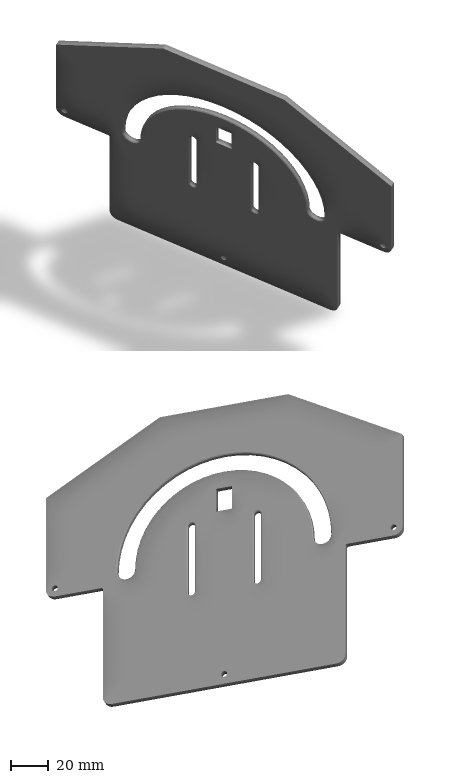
import cadquery as cq
import math

thickness = 3.0
head_width = 200.0
tail_width = 136.0
height = 170.0
shoulder_z = 72.0
top_edge_width = 72.0
slope_angle = 30.0

lower_corner_radius = 5.0
shoulder_radius = 1.0
upper_corner_radius = 1.0

slot_center_z = 80.0
ring_slot_radius = 55.0
ring_slot_width = 10.0
straight_slot_spacing = 37.0
straight_slot_width = 4.0
straight_slot_travel = 40.0
slot_chamfer = 0.5

window_width = 9.2
window_height = 13.8
window_bottom_z = 106.2

hole_diameter = 3.5
head_hole_spacing = 190.0
head_hole_z = 77.0
tail_hole_z = 6.0

half_head = head_width / 2
half_tail = tail_width / 2
half_top = top_edge_width / 2
slope_drop = (half_head - half_top) * math.tan(math.radians(slope_angle))
slope_foot_z = height - slope_drop


def front_plane():
    """Sketch plane on the front face; its normal points to -Y, local x is X and local y is Z."""
    return cq.Workplane("XZ", origin=(0, -thickness / 2, 0))


def round_corners(body, half_width, z, radius):
    """Round the mirrored pair of through-thickness edges at (+/-half_width, z)."""
    for x in (-half_width, half_width):
        corner = cq.selectors.NearestToPointSelector((x, 0, z))
        body = body.edges("|Y").edges(corner).fillet(radius)
    return body


def make_plate():
    right_side = [
        (half_tail, 0),
        (half_tail, shoulder_z),
        (half_head, shoulder_z),
        (half_head, slope_foot_z),
        (half_top, height),
    ]
    left_side = [(-x, z) for x, z in reversed(right_side)]
    plate = front_plane().polyline(right_side + left_side).close().extrude(-thickness)
    plate = round_corners(plate, half_tail, 0, lower_corner_radius)
    plate = round_corners(plate, half_tail, shoulder_z, shoulder_radius)
    plate = round_corners(plate, half_head, shoulder_z, lower_corner_radius)
    plate = round_corners(plate, half_head, slope_foot_z, upper_corner_radius)
    return round_corners(plate, half_top, height, upper_corner_radius)


def make_ring_slot():
    """Upper half ring with round ends."""
    outer = ring_slot_radius + ring_slot_width / 2
    inner = ring_slot_radius - ring_slot_width / 2
    end_z = slot_center_z - ring_slot_width / 2
    return (
        front_plane()
        .moveTo(-outer, slot_center_z)
        .threePointArc((0, slot_center_z + outer), (outer, slot_center_z))
        .threePointArc((ring_slot_radius, end_z), (inner, slot_center_z))
        .threePointArc((0, slot_center_z + inner), (-inner, slot_center_z))
        .threePointArc((-ring_slot_radius, end_z), (-outer, slot_center_z))
        .close()
        .extrude(-thickness)
    )


def make_straight_slots():
    half_spacing = straight_slot_spacing / 2
    return (
        front_plane()
        .pushPoints([(-half_spacing, slot_center_z), (half_spacing, slot_center_z)])
        .slot2D(straight_slot_travel + straight_slot_width, straight_slot_width, 90)
        .extrude(-thickness)
    )


def make_window():
    window_center_z = window_bottom_z + window_height / 2
    return front_plane().center(0, window_center_z).rect(window_width, window_height).extrude(-thickness)


def make_holes():
    half_spacing = head_hole_spacing / 2
    centers = [(-half_spacing, head_hole_z), (half_spacing, head_hole_z), (0, tail_hole_z)]
    return front_plane().pushPoints(centers).circle(hole_diameter / 2).extrude(-thickness)


def chamfer_inner_rims(body):
    """Chamfer every opening's rim on both the front and the back face."""
    rims = []
    for face in body.faces("|Y").vals():
        for wire in face.innerWires():
            rims.extend(wire.Edges())
    return body.newObject(rims).chamfer(slot_chamfer)


slotted_plate = chamfer_inner_rims(make_plate().cut(make_ring_slot()).cut(make_straight_slots()))
result = slotted_plate.cut(make_window()).cut(make_holes())